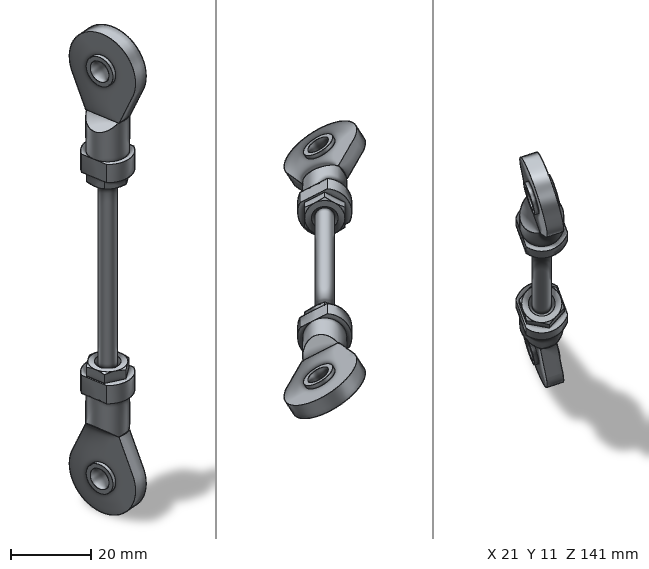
import cadquery as cq
import math

total_length = 141.0
half_length = total_length / 2

eye_diameter = 21.0
eye_radius = eye_diameter / 2
plate_thickness = 4.4
neck_width = 10.6
flank_start_drop = 3.7

bush_diameter = 8.5
bush_length = 6.6
bush_bore = 5.9

neck_depth = 24.3
bevel_end_depth = 27.1
collar_start_depth = 35.2
collar_end_depth = 40.6
nut_end_depth = 43.5

barrel_diameter = 11.0
collar_diameter = 13.5

nut_across_flats = 10.0
nut_corner_diameter = nut_across_flats / math.cos(math.pi / 6)
nut_chamfer_angle = math.radians(30)
nut_chamfer_height = (nut_corner_diameter - nut_across_flats) / 2 * math.tan(nut_chamfer_angle)
nut_height = nut_end_depth - collar_end_depth
nut_mouth_diameter = 6.6

rod_diameter = 5.0

eye_center_z = half_length - eye_radius
neck_z = half_length - neck_depth


def cylinder_along_y(diameter, length):
    """Cylinder on the eye axis, centred on the plate's middle plane."""
    return (
        cq.Workplane("XZ", origin=(0, 0, eye_center_z))
        .circle(diameter / 2)
        .extrude(length / 2, both=True)
    )


def make_eye_plate():
    flank_x = math.sqrt(eye_radius**2 - flank_start_drop**2)
    flank_z = eye_center_z - flank_start_drop
    return (
        cq.Workplane("XZ")
        .moveTo(-neck_width / 2, neck_z)
        .lineTo(-flank_x, flank_z)
        .threePointArc((0, half_length), (flank_x, flank_z))
        .lineTo(neck_width / 2, neck_z)
        .close()
        .extrude(plate_thickness / 2, both=True)
    )


def make_barrel():
    """Round barrel whose outer end is bevelled on both faces down to the plate."""
    collar_z = half_length - collar_start_depth
    bevel_z = half_length - bevel_end_depth
    barrel_radius = barrel_diameter / 2
    barrel = (
        cq.Workplane("XY", origin=(0, 0, collar_z))
        .circle(barrel_radius)
        .extrude(neck_z - collar_z)
    )
    side_profile = (
        cq.Workplane("YZ")
        .polyline([
            (-barrel_radius, collar_z),
            (barrel_radius, collar_z),
            (barrel_radius, bevel_z),
            (plate_thickness / 2, neck_z),
            (-plate_thickness / 2, neck_z),
            (-barrel_radius, bevel_z),
        ])
        .close()
        .extrude(collar_diameter, both=True)
    )
    return barrel.intersect(side_profile)


def make_collar():
    """Round collar with two wrench flats flush with the barrel."""
    collar_height = collar_end_depth - collar_start_depth
    base = cq.Workplane("XY", origin=(0, 0, half_length - collar_end_depth))
    disc = base.circle(collar_diameter / 2).extrude(collar_height)
    flats = base.rect(collar_diameter, barrel_diameter).extrude(collar_height)
    return disc.intersect(flats)


def make_nut():
    """Hex nut with rounded-off corners and a conical mouth on the inner face."""
    base = cq.Workplane("XY", origin=(0, 0, half_length - nut_end_depth))
    hexagon = base.polygon(6, nut_corner_diameter).extrude(nut_height)
    corner_envelope = (
        base.circle(nut_corner_diameter / 2)
        .extrude(nut_height)
        .faces("<Z")
        .chamfer(nut_chamfer_height, (nut_corner_diameter - nut_across_flats) / 2)
    )
    mouth_depth = (nut_mouth_diameter - rod_diameter) / 2
    mouth = (
        base.circle(nut_mouth_diameter / 2)
        .workplane(offset=mouth_depth)
        .circle(rod_diameter / 2)
        .loft()
    )
    return hexagon.intersect(corner_envelope).cut(mouth)


def make_rod_end():
    bush = cylinder_along_y(bush_diameter, bush_length)
    solid_end = (
        make_eye_plate()
        .union(bush)
        .union(make_barrel())
        .union(make_collar())
        .union(make_nut())
    )
    return solid_end.cut(cylinder_along_y(bush_bore, bush_length))


rod_length = total_length - 2 * collar_start_depth
rod = (
    cq.Workplane("XY", origin=(0, 0, -rod_length / 2))
    .circle(rod_diameter / 2)
    .extrude(rod_length)
)

upper_end = make_rod_end()
lower_end = upper_end.mirror("XY")
result = rod.union(upper_end).union(lower_end)